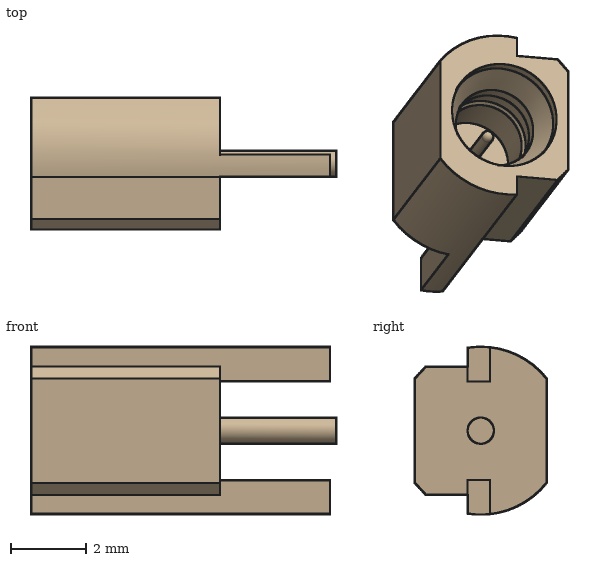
import cadquery as cq
import math

total_length = 8.11
body_length = 5.02
body_width = 3.51
flange_radius = 2.234
flat_half_width = body_width / 2

step_y = -0.35
front_half_height = 1.7
chamfer_y = 0.29
chamfer_z = 0.32

leg_end = 7.95
leg_back_y = 0.24
leg_inner_z = 1.31

mouth_radius = 1.435
mouth_depth = 0.365
bore_radius = 1.06
cone_end = 1.04
groove_start = 1.49
groove_end = 2.27
groove_radius = 1.14
groove_flank = 0.105
socket_depth = 3.73

contact_radius = 0.155
contact_tip = 1.62
tail_radius = 0.35


def make_body():
    """Round-backed body with a flat rear side and a narrower chamfered front."""
    back_edge_z = math.sqrt(flange_radius**2 - flat_half_width**2)
    step_edge_z = math.sqrt(flange_radius**2 - step_y**2)
    chamfer_edge_y = chamfer_y - flat_half_width
    front_edge_z = front_half_height - chamfer_z
    return (
        cq.Workplane("YZ")
        .moveTo(flat_half_width, -back_edge_z)
        .lineTo(flat_half_width, back_edge_z)
        .threePointArc((0, flange_radius), (step_y, step_edge_z))
        .lineTo(step_y, front_half_height)
        .lineTo(chamfer_edge_y, front_half_height)
        .lineTo(-flat_half_width, front_edge_z)
        .lineTo(-flat_half_width, -front_edge_z)
        .lineTo(chamfer_edge_y, -front_half_height)
        .lineTo(step_y, -front_half_height)
        .lineTo(step_y, -step_edge_z)
        .threePointArc((0, -flange_radius), (flat_half_width, -back_edge_z))
        .close()
        .extrude(body_length)
    )


def make_legs():
    """Two legs whose outer faces follow the round of the body."""
    leg_width = leg_back_y - step_y
    leg_height = flange_radius - leg_inner_z
    leg_length = leg_end - body_length
    blanks = (
        cq.Workplane("YZ", origin=(body_length, 0, 0))
        .pushPoints([
            ((step_y + leg_back_y) / 2, side * (leg_inner_z + leg_height / 2))
            for side in (-1, 1)
        ])
        .rect(leg_width, leg_height)
        .extrude(leg_length)
    )
    round_envelope = cq.Workplane("YZ").circle(flange_radius).extrude(leg_end)
    return blanks.intersect(round_envelope)


def make_socket():
    """Stepped socket: straight mouth, lead-in cone, bore and snap groove with sloping flanks."""
    return (
        cq.Workplane("XY")
        .moveTo(0, 0)
        .lineTo(0, mouth_radius)
        .lineTo(mouth_depth, mouth_radius)
        .lineTo(cone_end, bore_radius)
        .lineTo(groove_start, bore_radius)
        .lineTo(groove_start + groove_flank, groove_radius)
        .lineTo(groove_end - groove_flank, groove_radius)
        .lineTo(groove_end, bore_radius)
        .lineTo(socket_depth, bore_radius)
        .lineTo(socket_depth, 0)
        .close()
        .revolve(360, (0, 0, 0), (1, 0, 0))
    )


def make_contact():
    """Domed contact inside the socket."""
    dome_centre = contact_tip + contact_radius
    rod = (
        cq.Workplane("YZ", origin=(dome_centre, 0, 0))
        .circle(contact_radius)
        .extrude(socket_depth - dome_centre)
    )
    dome = cq.Workplane("XY", origin=(dome_centre, 0, 0)).sphere(contact_radius)
    return rod.union(dome)


def make_tail():
    """Thicker solder tail of the contact behind the body."""
    return (
        cq.Workplane("YZ", origin=(socket_depth, 0, 0))
        .circle(tail_radius)
        .extrude(total_length - socket_depth)
    )


result = (
    make_body()
    .union(make_legs())
    .cut(make_socket())
    .union(make_tail())
    .union(make_contact())
)